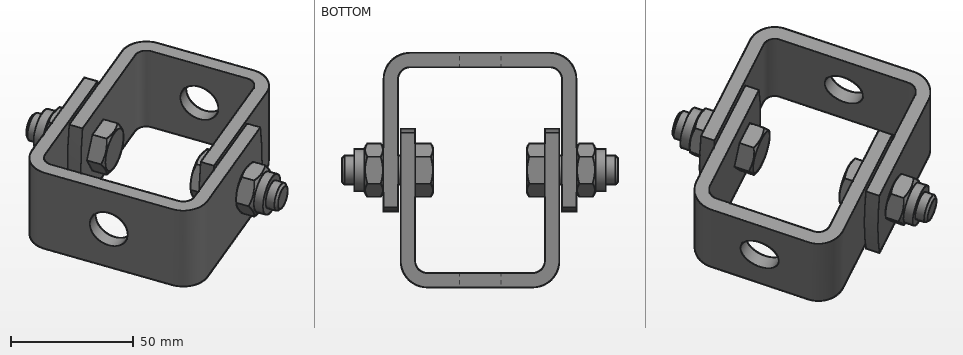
import cadquery as cq
import math


strip_thickness = 6.0
strip_height = 40.0
bend_radius = 11.0
web_hole_diameter = 17.0
web_distance = 48.0
arm_overhang = 17.0
arm_tip_radius = 119.8

outer_width = 79.0
arm_gap = 1.0
inner_width = outer_width - 2 * (strip_thickness + arm_gap)

hex_across_flats = 19.0
hex_across_corners = hex_across_flats / math.cos(math.radians(30))
hex_chamfer_angle = 30.0
head_height = 7.5
head_face_diameter = 18.1
shank_diameter = 12.0
shank_chamfer = 1.1
bolt_tip = 56.5
nut_height = 7.9
nut_inner_face_diameter = 18.1
collar_diameter = 17.4
lock_nut_height = 12.0


def u_bracket(width):
    """U-bracket with its web on the -Y side and its arms reaching past the bolt axis."""
    length = web_distance + arm_overhang
    middle_y = (arm_overhang - web_distance) / 2
    outside = (
        cq.Workplane("XY")
        .center(0, middle_y)
        .box(width, length, strip_height)
        .edges("|Z and <Y")
        .fillet(bend_radius)
    )
    inside = (
        cq.Workplane("XY")
        .center(0, middle_y + strip_thickness)
        .box(width - 2 * strip_thickness, length, strip_height)
        .edges("|Z and <Y")
        .fillet(bend_radius - strip_thickness)
    )
    half_height = strip_height / 2
    tip_sag = arm_tip_radius - math.sqrt(arm_tip_radius**2 - half_height**2)
    side_outline = (
        cq.Workplane("YZ")
        .moveTo(-web_distance, -half_height)
        .lineTo(arm_overhang - tip_sag, -half_height)
        .threePointArc((arm_overhang, 0), (arm_overhang - tip_sag, half_height))
        .lineTo(-web_distance, half_height)
        .close()
        .extrude(width / 2, both=True)
    )
    web_hole = (
        cq.Workplane("XZ", origin=(0, -web_distance, 0))
        .circle(web_hole_diameter / 2)
        .extrude(-2 * strip_thickness)
    )
    return outside.cut(inside).intersect(side_outline).cut(web_hole)


def chamfer_depth(face_diameter):
    """Axial depth of the hexagon's corner chamfer that leaves a round face of this diameter."""
    return (hex_across_corners - face_diameter) / 2 * math.tan(math.radians(hex_chamfer_angle))


def chamfered_hexagon(start_x, height, start_face_diameter, end_face_diameter):
    """Hexagon along +X with two corners on Y, chamfered down to round end faces.

    An end face as wide as the corners leaves that end sharp.
    """
    end_x = start_x + height
    corner_radius = hex_across_corners / 2
    hexagon = (
        cq.Workplane("YZ", origin=(start_x, 0, 0))
        .polygon(6, hex_across_corners)
        .extrude(height)
    )
    chamfer_envelope = (
        cq.Workplane("XY")
        .moveTo(start_x, 0)
        .lineTo(start_x, start_face_diameter / 2)
        .lineTo(start_x + chamfer_depth(start_face_diameter), corner_radius)
    )
    if end_face_diameter < hex_across_corners:
        chamfer_envelope = chamfer_envelope.lineTo(
            end_x - chamfer_depth(end_face_diameter), corner_radius
        )
    chamfer_envelope = (
        chamfer_envelope.lineTo(end_x, end_face_diameter / 2)
        .lineTo(end_x, 0)
        .close()
        .revolve(360, (0, 0, 0), (1, 0, 0))
    )
    return hexagon.intersect(chamfer_envelope)


def bolt_and_nut():
    """Fastener on the +X side: head inside the inner bracket, lock nut outside the outer one."""
    head_seat = inner_width / 2 - strip_thickness
    nut_seat = outer_width / 2
    head = chamfered_hexagon(
        head_seat - head_height, head_height, head_face_diameter, hex_across_corners
    )
    shank = (
        cq.Workplane("YZ", origin=(head_seat, 0, 0))
        .circle(shank_diameter / 2)
        .extrude(bolt_tip - head_seat)
        .faces(">X")
        .chamfer(shank_chamfer)
    )
    nut = chamfered_hexagon(nut_seat, nut_height, nut_inner_face_diameter, collar_diameter)
    collar = (
        cq.Workplane("YZ", origin=(nut_seat, 0, 0))
        .circle(collar_diameter / 2)
        .extrude(lock_nut_height)
    )
    return head.union(shank).union(nut).union(collar)


outer_bracket = u_bracket(outer_width)
inner_bracket = u_bracket(inner_width).rotate((0, 0, 0), (0, 0, 1), 180)
right_fastener = bolt_and_nut()
left_fastener = right_fastener.mirror("YZ")

result = outer_bracket.union(right_fastener).union(left_fastener).union(inner_bracket)